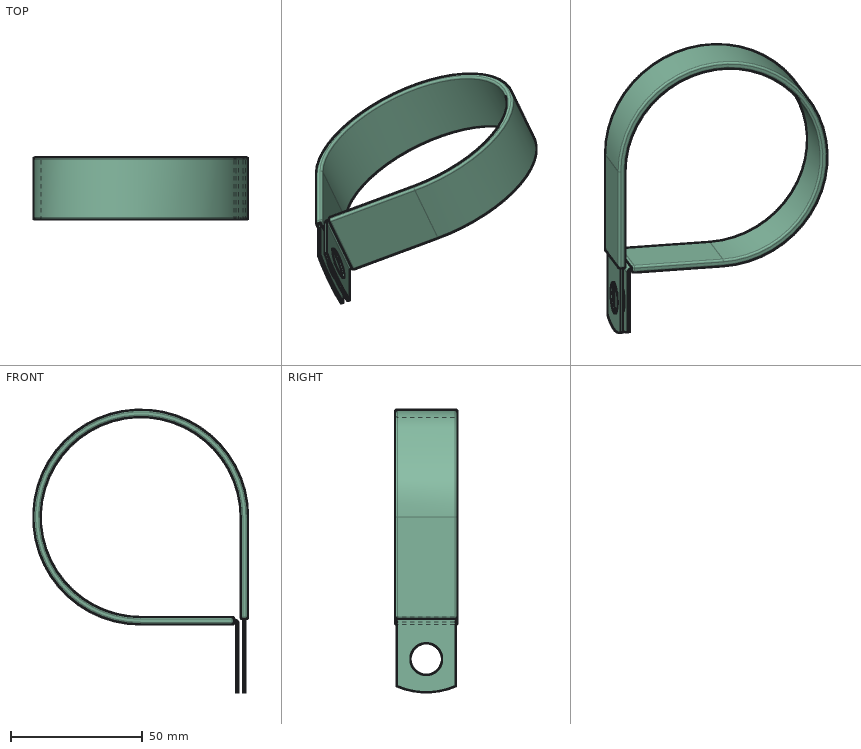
import cadquery as cq
import math

outer_radius = 40.9
cushion_thickness = 2.9
cushion_width = 23.8
edge_radius = 0.9
strap_thickness = 1.0
strap_width = 22.5

lower_arm_end = 35.5
upright_arm_end = -38.8
bent_tab_x = 36.8
bend_inner_radius = 1.0
tolerance = 0.01

tip_z = outer_radius - 107.6
tip_sagitta = 2.4
hole_diameter = 11.9
hole_z = -54.0

middle_radius = outer_radius - cushion_thickness / 2
half_strap = strap_thickness / 2
half_strap_width = strap_width / 2


def cushion():
    """Teardrop band: three quarters of a ring plus two straight arms, all edges rounded."""
    inner_radius = outer_radius - cushion_thickness
    diagonal = math.sqrt(0.5)
    band = (
        cq.Workplane("XZ")
        .moveTo(lower_arm_end, -outer_radius)
        .lineTo(0, -outer_radius)
        .threePointArc((-outer_radius * diagonal, outer_radius * diagonal), (outer_radius, 0))
        .lineTo(outer_radius, upright_arm_end)
        .lineTo(inner_radius, upright_arm_end)
        .lineTo(inner_radius, 0)
        .threePointArc((-inner_radius * diagonal, inner_radius * diagonal), (0, -inner_radius))
        .lineTo(lower_arm_end, -inner_radius)
        .close()
        .extrude(cushion_width / 2, both=True)
    )
    rim_edges = band.faces("<Y or >Y").edges()
    end_edges = band.edges("|Y").filter(is_at_free_end)
    return rim_edges.add(end_edges).fillet(edge_radius)


def is_at_free_end(edge):
    """True for the width-wise edges that close the ends of the two arms."""
    center = edge.Center()
    on_lower_end = abs(center.x - lower_arm_end) < tolerance and center.z < 0
    on_upright_end = abs(center.z - upright_arm_end) < tolerance and center.x > lower_arm_end
    return on_lower_end or on_upright_end


def strap():
    """Both straight strap lengths, the bend and the tabs, cut to the tab outline."""
    upright = (
        cq.Workplane("XZ", origin=(middle_radius, 0, 0))
        .moveTo(-half_strap, 0)
        .lineTo(half_strap, 0)
        .lineTo(half_strap, tip_z)
        .lineTo(-half_strap, tip_z)
        .close()
        .extrude(half_strap_width, both=True)
    )
    bend_outer_radius = bend_inner_radius + strap_thickness
    top = -middle_radius + half_strap
    bottom = -middle_radius - half_strap
    left = bent_tab_x - half_strap
    right = bent_tab_x + half_strap
    bend_start = right - bend_outer_radius
    bend_end = top - bend_outer_radius
    bent = (
        cq.Workplane("XZ")
        .moveTo(0, top)
        .lineTo(bend_start, top)
        .tangentArcPoint((right, bend_end), relative=False)
        .lineTo(right, tip_z)
        .lineTo(left, tip_z)
        .lineTo(left, bend_end)
        .radiusArc((bend_start, bottom), -bend_inner_radius)
        .lineTo(0, bottom)
        .close()
        .extrude(half_strap_width, both=True)
    )
    tab_outline = (
        cq.Workplane("YZ")
        .moveTo(-half_strap_width, 0)
        .lineTo(-half_strap_width, tip_z + tip_sagitta)
        .threePointArc((0, tip_z), (half_strap_width, tip_z + tip_sagitta))
        .lineTo(half_strap_width, 0)
        .close()
        .extrude(outer_radius)
    )
    bolt_hole = (
        cq.Workplane("YZ")
        .center(0, hole_z)
        .circle(hole_diameter / 2)
        .extrude(outer_radius)
    )
    return upright.union(bent).intersect(tab_outline).cut(bolt_hole)


result = cushion().union(strap())